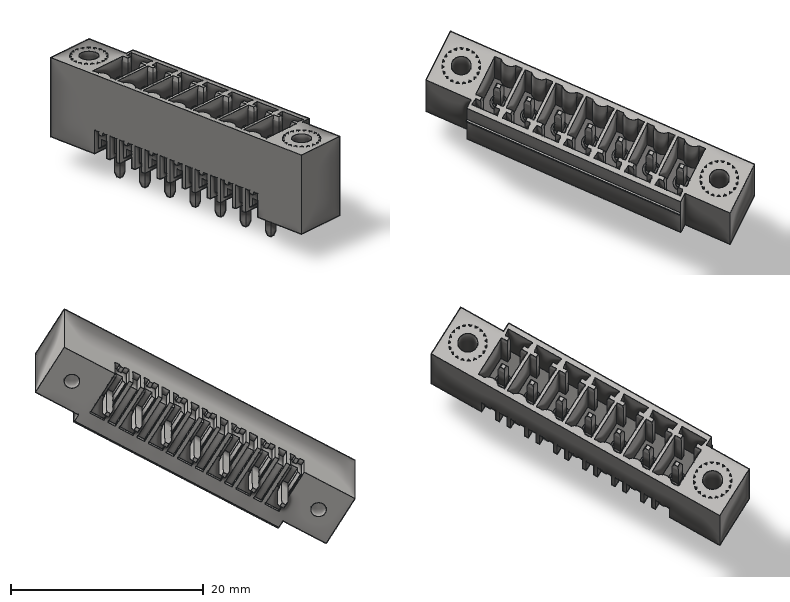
import cadquery as cq


length = 34.9
flange_depth = 6.0
body_height = 9.15
core_width = 24.55
core_depth = 7.05
core_chamfer = 0.2

ridge_depth = 0.2
ridge_bottom = 5.5
ridge_top = 5.95

contact_count = 7
row_span = 21.0
pitch = row_span / (contact_count - 1)
contact_xs = [(i - (contact_count - 1) / 2) * pitch for i in range(contact_count)]
gap_xs = [x + pitch / 2 for x in contact_xs[:-1]]
contact_y = 3.0

pocket_floor = 3.15
pocket_width = 3.15
pocket_front = 0.6
front_draft = 0.1
rail_front = 5.13
rail_back = 5.7
rail_gap = 1.5
rail_lead_in = 0.122
rail_lead_in_height = 0.52
key_front_width = 2.72
key_back_width = 2.93
key_back = 6.45
back_draft = 0.15
rib_width = 1.68
rib_height = 0.4

pin_size = 0.8
pin_bottom = -3.45
pin_top = 8.0
pin_tip_length = 0.6
pin_tip_size = 0.45
collar_diameter = 1.8
collar_top_diameter = 1.35
collar_height = 0.17

slot_height = 2.72
wide_slot_width = 1.68
wide_slot_depth = 0.6
narrow_slot_width = 0.9
narrow_slot_depth = 0.7
tab_width = 0.63
tab_tip_width = 0.42
tab_height = 0.35
pin_groove_height = 1.57
groove_flare_width = 1.45
groove_flare_height = 0.3

channel_back = 5.25
wide_channel_height = 0.42
narrow_channel_height = 0.52

insert_x = 14.8
insert_bore = 2.05
insert_bore_depth = 5.6
insert_hole = 1.6
knurl_count = 19
knurl_outer_radius = 2.0
knurl_inner_radius = 1.8
knurl_half_width = 0.17
knurl_depth = 0.35


def block(x, width, y0, y1, z0, z1):
    """Box centred on x, spanning y0..y1 and z0..z1."""
    return cq.Workplane("XY").box(width, y1 - y0, z1 - z0, centered=False).translate((x - width / 2, y0, z0))


def make_housing():
    flanges = block(0, length, 0, flange_depth, 0, body_height)
    core = block(0, core_width, 0, core_depth, 0, body_height)
    core = core.faces(">Y").edges("<Z").chamfer(core_chamfer)
    ridge = (
        cq.Workplane("YZ")
        .polyline([
            (core_depth - ridge_depth, ridge_bottom),
            (core_depth, ridge_bottom),
            (core_depth + ridge_depth, ridge_bottom + ridge_depth),
            (core_depth + ridge_depth, ridge_top),
            (core_depth - ridge_depth, ridge_top),
        ])
        .close()
        .extrude(core_width / 2, both=True)
    )
    return flanges.union(core).union(ridge)


def make_pocket_outline(z, front, back):
    """Outline of one pocket at height z, between its front and back walls."""
    half = pocket_width / 2
    gap = rail_gap / 2
    key_front = key_front_width / 2
    key_rear = key_back_width / 2
    rib = rib_width / 2
    outline = (
        cq.Workplane("XY", origin=(0, 0, z))
        .moveTo(-half, front)
        .lineTo(-rib, front)
        .threePointArc((0, front + rib_height), (rib, front))
        .lineTo(half, front)
        .lineTo(half, rail_front)
        .lineTo(gap, rail_front)
        .lineTo(gap, rail_back)
        .lineTo(key_front, rail_back)
        .lineTo(key_rear, back)
        .lineTo(-key_rear, back)
        .lineTo(-key_front, rail_back)
        .lineTo(-gap, rail_back)
        .lineTo(-gap, rail_front)
        .lineTo(-half, rail_front)
        .close()
    )
    return outline.val()


def make_pocket():
    """Cavity for one contact, with drafted front and back walls and steep lead-ins on the rails."""
    bottom_outline = make_pocket_outline(pocket_floor, pocket_front + front_draft, key_back - back_draft)
    top_outline = make_pocket_outline(body_height, pocket_front, key_back)
    cavity = cq.Workplane(cq.Solid.makeLoft([bottom_outline, top_outline], True))
    gap = rail_gap / 2
    side_lead_in = (
        cq.Workplane("XZ", origin=(0, rail_front, 0))
        .polyline([
            (-gap - rail_lead_in, body_height),
            (gap + rail_lead_in, body_height),
            (gap, body_height - rail_lead_in_height),
            (-gap, body_height - rail_lead_in_height),
        ])
        .close()
        .extrude(rail_front - rail_back)
    )
    front_lead_in = (
        cq.Workplane("YZ")
        .polyline([
            (rail_front, body_height),
            (rail_front + rail_lead_in, body_height),
            (rail_front, body_height - rail_lead_in_height),
        ])
        .close()
        .extrude(pocket_width / 2, both=True)
    )
    return cavity.union(side_lead_in).union(front_lead_in)


def make_wide_slot():
    """Front slot with a tab at its top, a groove leading to the pin and a channel below."""
    slot = block(0, wide_slot_width, 0, wide_slot_depth, 0, slot_height)
    tab = (
        cq.Workplane("XZ")
        .polyline([
            (-tab_width / 2, slot_height),
            (-tab_tip_width / 2, slot_height - tab_height),
            (tab_tip_width / 2, slot_height - tab_height),
            (tab_width / 2, slot_height),
        ])
        .close()
        .extrude(-wide_slot_depth)
    )
    groove = block(0, pin_size, 0, contact_y, 0, pin_groove_height)
    flare = (
        cq.Workplane("XZ")
        .polyline([
            (-groove_flare_width / 2, wide_channel_height),
            (groove_flare_width / 2, wide_channel_height),
            (pin_size / 2, wide_channel_height + groove_flare_height),
            (-pin_size / 2, wide_channel_height + groove_flare_height),
        ])
        .close()
        .extrude(-contact_y)
    )
    channel = block(0, wide_slot_width, 0, channel_back, 0, wide_channel_height)
    return slot.cut(tab).union(groove).union(flare).union(channel)


def make_narrow_slot():
    slot = block(0, narrow_slot_width, 0, narrow_slot_depth, 0, slot_height)
    channel = block(0, narrow_slot_width, 0, channel_back, 0, narrow_channel_height)
    return slot.union(channel)


def make_pin_tip(z, direction):
    """Tapered square end of a pin, starting at height z and pointing up (1) or down (-1)."""
    return (
        cq.Workplane("XY", origin=(0, contact_y, z))
        .rect(pin_size, pin_size)
        .workplane(offset=direction * pin_tip_length)
        .rect(pin_tip_size, pin_tip_size)
        .loft()
    )


def make_pin():
    shaft_bottom = pin_bottom + pin_tip_length
    shaft_top = pin_top - pin_tip_length
    half = pin_size / 2
    shaft = block(0, pin_size, contact_y - half, contact_y + half, shaft_bottom, shaft_top)
    collar = (
        cq.Workplane("XY", origin=(0, contact_y, pocket_floor))
        .circle(collar_diameter / 2)
        .workplane(offset=collar_height)
        .circle(collar_top_diameter / 2)
        .loft()
    )
    return shaft.union(make_pin_tip(shaft_top, 1)).union(make_pin_tip(shaft_bottom, -1)).union(collar)


def make_insert_cut():
    """Through hole, wider bore from the top and a ring of shallow knurl notches around it."""
    top = cq.Workplane("XY", origin=(0, 0, body_height))
    cut = top.circle(insert_hole / 2).extrude(-body_height)
    cut = cut.union(top.circle(insert_bore / 2).extrude(-insert_bore_depth))
    notch = (
        top.polyline([
            (knurl_inner_radius, 0),
            (knurl_outer_radius, -knurl_half_width),
            (knurl_outer_radius, knurl_half_width),
        ])
        .close()
        .extrude(-knurl_depth)
    )
    for i in range(knurl_count):
        cut = cut.union(notch.rotate((0, 0, 0), (0, 0, 1), i * 360 / knurl_count))
    return cut


def place(shape, xs):
    """Copies of a shape at every x position."""
    copies = [shape.val().translate(cq.Vector(x, 0, 0)) for x in xs]
    return cq.Workplane(cq.Compound.makeCompound(copies))


housing = make_housing()
housing = housing.cut(place(make_pocket(), contact_xs))
housing = housing.cut(place(make_wide_slot(), contact_xs))
housing = housing.cut(place(make_narrow_slot(), gap_xs))
left_insert = make_insert_cut().translate((-insert_x, contact_y, 0))
housing = housing.cut(left_insert)
housing = housing.cut(left_insert.mirror("YZ"))
result = housing.union(place(make_pin(), contact_xs))